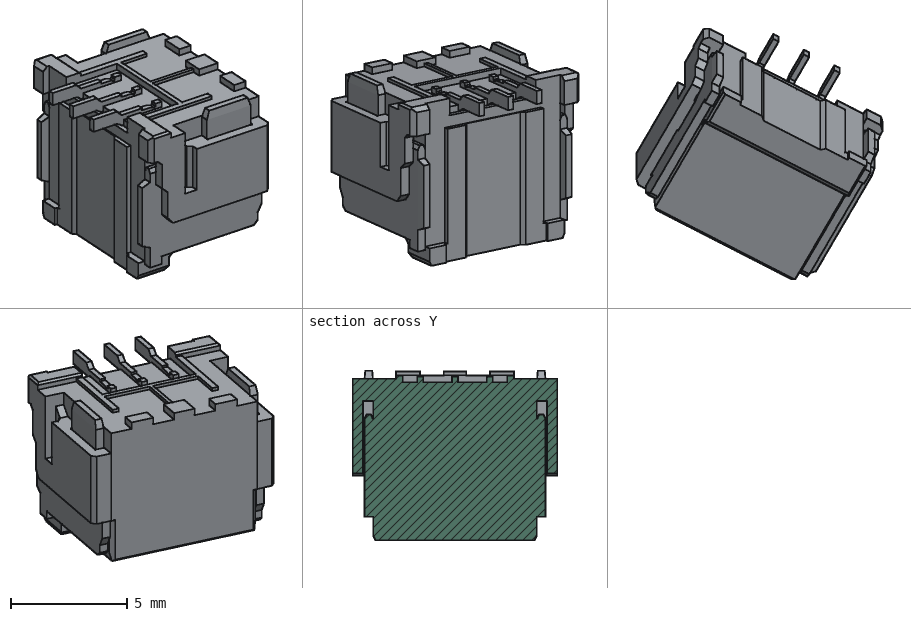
import cadquery as cq


HALF_WIDTH = 4.4
BACK_Y = 7.4
TOP_Z = 7.3

CORE_HALF = 3.52
CORE_FRONT_Y = 1.35
CORE_BOTTOM_Z = 0.81
CORE_TOP_Z = 6.96
CORE_SIDE_RELIEF = 0.09
CORE_RELIEF_RISE = 0.41
EDGE_RISE = 0.2
BACK_EDGE = 0.09
SMALL_CHAMFER = 0.1
LARGE_CHAMFER = 0.2

SKIRT_BACK_Y = 2.65
SKIRT_SLOPE_Z = 0.6
FOOT_FRONT_Y = 1.02
FOOT_INNER_X = 2.64

PANEL_HALF = 2.51
PANEL_FRONT_Y = 1.135
CHANNEL_Y = 1.29
CHANNEL_INNER_X = 1.39
CHANNEL_OUTER_X = 1.57

PAD_TOP_Z = 7.27
RIB_TOP_Z = 7.1
CLAMP_TOP_Z = 7.28
CENTER_PAD_HALF = 0.49
CENTER_PAD_Y = 6.41
SIDE_PAD_INNER_X = 1.5
SIDE_PAD_Y = 6.79
RIB_OUTER_X = 2.54
SIDE_RIB_END_Y = 5.61
CENTER_RIB_HALF = 0.09
CROSS_RIB_BACK_Y = 4.25
POCKET_HALF = 2.24
POCKET_BACK_Y = 4.02
POCKET_FLOOR_Z = 6.8
LEDGE_BACK_Y = 1.59
LEDGE_Z = 6.5

CLAMP_FRONT_Y = 1.03
CLAMP_BACK_Y = 2.12
SHOULDER_Z = 5.99

WING_INNER_X = 3.95
WING_BACK_Y = 7.38
WING_BOTTOM_Z = 2.78
WING_BACK_CHAMFER = 0.185
WING_FRONT_Y = 1.43
FILLER_FRONT_Y = 2.22
WING_STEPS = [
    (WING_FRONT_Y, SHOULDER_Z),
    (1.64, 5.8),
    (1.64, 4.64),
    (1.945, 4.36),
    (1.945, 3.1),
    (FILLER_FRONT_Y, WING_BOTTOM_Z),
]
FILLER_CHAMFER = 0.62
SLOT_FRONT_Y = 4.37
SLOT_BACK_Y = 6.74
GROOVE_FRONT_Y = 2.86
GROOVE_BACK_Y = 3.48
GROOVE_BOTTOM_Z = 4.0
GROOVE_DEPTH = 0.31

PLATE_OUTER_X = 3.9
PLATE_FRONT_Y = 1.36
PLATE_BOTTOM_Z = 1.01
PLATE_TOP_Z = 6.39
PLATE_BACK_Y = 7.29
PLATE_BACK_CORNER = [(6.86, PLATE_BOTTOM_Z), (7.07, 1.21), (7.07, 1.57), (PLATE_BACK_Y, 1.97)]
LEG_BACK_Y = 1.98
LEG_BOTTOM_Z = 0.64
ARM_TOP_Z = 5.42
TAB_TAPER = 0.035
TOP_TAB_BASE_Z = 6.91
TOP_TAB_FRONT_Y = SLOT_FRONT_Y
TOP_TAB_BACK_Y = 6.7
TOP_TAB_SLOPE = 0.15
FRONT_TAB_BOTTOM_Z = 1.62
FRONT_TAB_TOP_Z = 4.805
FRONT_TAB_SLOPE = 0.18
FRONT_TAB_Y = 0.97

PIN_PITCH = 1.5
PIN_WIDTH = 0.26
TIP_BOTTOM_Z = 6.71
JOG_START_Y = 1.26
JOG_END_Y = 1.5
TAIL_BOTTOM_Z = 6.55
TAIL_TOP_Z = 7.06
WAIST_START_Y = 2.57
WAIST_Z = 6.96
BEND_START_Y = 2.9
BEND_MID_POINT = (3.06, 6.94)
BEND_LOW_POINT = (3.21, 6.88)
HEAD_FOOT_Z = 6.94
HEAD_START_Y = 3.28
PIN_END_Y = 3.62


def block(x0, x1, y0, y1, z0, z1):
    """Axis-aligned box between two opposite corners."""
    return cq.Workplane("XY").box(x1 - x0, y1 - y0, z1 - z0, centered=False).translate((x0, y0, z0))


def side_prism(points, x0, x1):
    """Prism with a (Y, Z) outline, running along X."""
    return cq.Workplane("YZ").polyline(points).close().extrude(x1 - x0).translate((x0, 0, 0))


def plan_prism(points, z0, z1):
    """Prism with an (X, Y) outline, running along Z."""
    return cq.Workplane("XY").polyline(points).close().extrude(z1 - z0).translate((0, 0, z0))


def front_prism(points, y0, y1):
    """Prism with an (X, Z) outline, running along Y."""
    return cq.Workplane("XZ").polyline(points).close().extrude(y0 - y1).translate((0, y0, 0))


def both_sides(half):
    """The shape together with its mirror image across X = 0."""
    return half.union(half.mirror("YZ"))


def make_core():
    profile = [
        (CORE_FRONT_Y, CORE_BOTTOM_Z),
        (BACK_Y - BACK_EDGE, CORE_BOTTOM_Z),
        (BACK_Y, CORE_BOTTOM_Z + BACK_EDGE),
        (BACK_Y, CORE_TOP_Z),
        (CORE_FRONT_Y, CORE_TOP_Z),
    ]
    core = side_prism(profile, -CORE_HALF, CORE_HALF)
    bottom_relief = front_prism(
        [
            (CORE_HALF, CORE_BOTTOM_Z + CORE_RELIEF_RISE),
            (CORE_HALF, CORE_BOTTOM_Z),
            (CORE_HALF - CORE_SIDE_RELIEF, CORE_BOTTOM_Z),
        ],
        SKIRT_BACK_Y,
        BACK_Y,
    )
    back_corner = plan_prism(
        [
            (CORE_HALF, BACK_Y - LARGE_CHAMFER),
            (CORE_HALF, BACK_Y),
            (CORE_HALF - LARGE_CHAMFER, BACK_Y),
        ],
        CORE_BOTTOM_Z,
        WING_BOTTOM_Z,
    )
    return core.cut(both_sides(bottom_relief)).cut(both_sides(back_corner))


def make_skirt():
    slope_top_z = CORE_BOTTOM_Z + EDGE_RISE
    profile = [
        (FOOT_FRONT_Y, 0),
        (SKIRT_BACK_Y - LARGE_CHAMFER, 0),
        (SKIRT_BACK_Y, LARGE_CHAMFER),
        (SKIRT_BACK_Y, SKIRT_SLOPE_Z),
        (SKIRT_BACK_Y + slope_top_z - SKIRT_SLOPE_Z, slope_top_z),
        (CORE_FRONT_Y, slope_top_z),
        (CORE_FRONT_Y, CORE_BOTTOM_Z),
        (FOOT_FRONT_Y, CORE_BOTTOM_Z),
    ]
    skirt = side_prism(profile, -CORE_HALF, CORE_HALF)
    between_feet = block(-FOOT_INNER_X, FOOT_INNER_X, FOOT_FRONT_Y, PANEL_FRONT_Y, 0, CORE_BOTTOM_Z)
    bottom_edge = front_prism(
        [(CORE_HALF, EDGE_RISE), (CORE_HALF, 0), (CORE_HALF - SMALL_CHAMFER, 0)],
        FOOT_FRONT_Y,
        SKIRT_BACK_Y,
    )
    return skirt.cut(between_feet).cut(both_sides(bottom_edge))


def make_panel():
    return block(-PANEL_HALF, PANEL_HALF, PANEL_FRONT_Y, CORE_FRONT_Y, 0, SHOULDER_Z)


def make_channel():
    outline = [
        (-CHANNEL_OUTER_X, PANEL_FRONT_Y),
        (-CHANNEL_INNER_X, CHANNEL_Y),
        (CHANNEL_INNER_X, CHANNEL_Y),
        (CHANNEL_OUTER_X, PANEL_FRONT_Y),
    ]
    return plan_prism(outline, 0, SHOULDER_Z)


def make_top_details():
    center_pad = block(-CENTER_PAD_HALF, CENTER_PAD_HALF, CENTER_PAD_Y, BACK_Y, CORE_TOP_Z, PAD_TOP_Z)
    side_pad = block(SIDE_PAD_INNER_X, RIB_OUTER_X, SIDE_PAD_Y, BACK_Y, CORE_TOP_Z, PAD_TOP_Z)
    side_rib = block(POCKET_HALF, RIB_OUTER_X, CLAMP_BACK_Y, SIDE_RIB_END_Y, CORE_TOP_Z, RIB_TOP_Z)
    cross_rib = block(-POCKET_HALF, POCKET_HALF, POCKET_BACK_Y, CROSS_RIB_BACK_Y, CORE_TOP_Z, RIB_TOP_Z)
    center_rib = block(
        -CENTER_RIB_HALF, CENTER_RIB_HALF, CROSS_RIB_BACK_Y, CENTER_PAD_Y, CORE_TOP_Z, RIB_TOP_Z
    )
    return center_pad.union(both_sides(side_pad.union(side_rib))).union(cross_rib).union(center_rib)


def make_pocket():
    """Pin pocket, open at the top and front, with a lower ledge at its front edge."""
    floor_part = block(-POCKET_HALF, POCKET_HALF, CORE_FRONT_Y, POCKET_BACK_Y, POCKET_FLOOR_Z, TOP_Z)
    ledge_part = block(-POCKET_HALF, POCKET_HALF, CORE_FRONT_Y, LEDGE_BACK_Y, LEDGE_Z, TOP_Z)
    return floor_part.union(ledge_part)


def make_clamp():
    """Corner block on the +X side, standing in front of the core at its outer end."""
    outer = block(CORE_HALF, HALF_WIDTH, CLAMP_FRONT_Y, CLAMP_BACK_Y, SHOULDER_Z, CLAMP_TOP_Z)
    outer = outer.edges(">X and <Y").chamfer(LARGE_CHAMFER)
    top_front = side_prism(
        [
            (CLAMP_FRONT_Y, CLAMP_TOP_Z - LARGE_CHAMFER),
            (CLAMP_FRONT_Y, CLAMP_TOP_Z),
            (CLAMP_FRONT_Y + LARGE_CHAMFER, CLAMP_TOP_Z),
        ],
        CORE_HALF,
        HALF_WIDTH,
    )
    top_side = front_prism(
        [
            (HALF_WIDTH, CLAMP_TOP_Z - SMALL_CHAMFER),
            (HALF_WIDTH, CLAMP_TOP_Z),
            (HALF_WIDTH - SMALL_CHAMFER, CLAMP_TOP_Z),
        ],
        CLAMP_FRONT_Y,
        CLAMP_BACK_Y,
    )
    inner = block(POCKET_HALF, CORE_HALF, CORE_FRONT_Y, CLAMP_BACK_Y, CORE_TOP_Z, CLAMP_TOP_Z)
    top_back = side_prism(
        [
            (CLAMP_BACK_Y, CLAMP_TOP_Z - SMALL_CHAMFER),
            (CLAMP_BACK_Y, CLAMP_TOP_Z),
            (CLAMP_BACK_Y - SMALL_CHAMFER, CLAMP_TOP_Z),
        ],
        POCKET_HALF,
        HALF_WIDTH,
    )
    return outer.cut(top_front).cut(top_side).union(inner).cut(top_back)


def make_wing():
    """Side wing on the +X side, with a slot through it and a vertical groove in its outer face."""
    slab = side_prism(
        WING_STEPS + [(WING_BACK_Y, WING_BOTTOM_Z), (WING_BACK_Y, SHOULDER_Z)], WING_INNER_X, HALF_WIDTH
    )
    filler = side_prism(
        [
            (FILLER_FRONT_Y, SHOULDER_Z),
            (FILLER_FRONT_Y, WING_BOTTOM_Z + FILLER_CHAMFER),
            (FILLER_FRONT_Y + FILLER_CHAMFER, WING_BOTTOM_Z),
            (WING_BACK_Y, WING_BOTTOM_Z),
            (WING_BACK_Y, SHOULDER_Z),
        ],
        CORE_HALF,
        WING_INNER_X,
    )
    slot = block(CORE_HALF, WING_INNER_X, SLOT_FRONT_Y, SLOT_BACK_Y, WING_BOTTOM_Z, SHOULDER_Z)
    wing = slab.edges(">X and >Y").chamfer(WING_BACK_CHAMFER).union(filler).cut(slot)
    front_block = block(CORE_HALF, HALF_WIDTH, WING_FRONT_Y, GROOVE_FRONT_Y, SHOULDER_Z, CORE_TOP_Z)
    shoulder_x = HALF_WIDTH - GROOVE_DEPTH
    narrowed_y = GROOVE_BACK_Y - LARGE_CHAMFER
    groove = plan_prism(
        [
            (HALF_WIDTH, GROOVE_BACK_Y),
            (shoulder_x, GROOVE_BACK_Y),
            (WING_INNER_X, narrowed_y),
            (CORE_HALF, narrowed_y),
            (CORE_HALF, GROOVE_FRONT_Y),
            (HALF_WIDTH, GROOVE_FRONT_Y),
        ],
        GROOVE_BOTTOM_Z,
        SHOULDER_Z,
    )
    return wing.cut(groove).union(front_block)


def make_plate():
    """Metal plate on the +X side of the core, with a tapered tab on its top and on its front."""
    groove_slope = PLATE_TOP_Z - SHOULDER_Z
    outline = [
        (PLATE_FRONT_Y, LEG_BOTTOM_Z),
        (LEG_BACK_Y, LEG_BOTTOM_Z),
        (LEG_BACK_Y, PLATE_BOTTOM_Z),
        *PLATE_BACK_CORNER,
        (PLATE_BACK_Y, WING_BOTTOM_Z),
        (TOP_TAB_BACK_Y, WING_BOTTOM_Z),
        (TOP_TAB_BACK_Y, TOP_TAB_BASE_Z),
        (TOP_TAB_FRONT_Y, TOP_TAB_BASE_Z),
        (TOP_TAB_FRONT_Y, SHOULDER_Z),
        (GROOVE_FRONT_Y + groove_slope, SHOULDER_Z),
        (GROOVE_FRONT_Y, PLATE_TOP_Z),
        (FILLER_FRONT_Y, PLATE_TOP_Z),
        (FILLER_FRONT_Y, ARM_TOP_Z),
        (PLATE_FRONT_Y, ARM_TOP_Z),
    ]
    plate = side_prism(outline, CORE_HALF, PLATE_OUTER_X)
    thickness = PLATE_OUTER_X - CORE_HALF
    plate_mid_x = (CORE_HALF + PLATE_OUTER_X) / 2
    outer_bevel = front_prism(
        [
            (PLATE_OUTER_X, ARM_TOP_Z - LARGE_CHAMFER),
            (PLATE_OUTER_X, ARM_TOP_Z),
            (PLATE_OUTER_X - SMALL_CHAMFER, ARM_TOP_Z),
        ],
        PLATE_FRONT_Y,
        FILLER_FRONT_Y,
    )
    inner_bevel = outer_bevel.mirror("YZ", (plate_mid_x, 0, 0))
    end_thickness = thickness - 2 * TAB_TAPER

    top_length = TOP_TAB_BACK_Y - TOP_TAB_FRONT_Y
    top_tab = (
        cq.Workplane("XY", origin=(plate_mid_x, (TOP_TAB_FRONT_Y + TOP_TAB_BACK_Y) / 2, TOP_TAB_BASE_Z))
        .rect(thickness, top_length)
        .workplane(offset=TOP_Z - TOP_TAB_BASE_Z)
        .rect(end_thickness, top_length - 2 * TOP_TAB_SLOPE)
        .loft(ruled=True)
    )
    front_length = FRONT_TAB_TOP_Z - FRONT_TAB_BOTTOM_Z
    front_mid_z = (FRONT_TAB_TOP_Z + FRONT_TAB_BOTTOM_Z) / 2
    front_tab = (
        cq.Workplane("XZ", origin=(plate_mid_x, PLATE_FRONT_Y, front_mid_z))
        .rect(thickness, front_length)
        .workplane(offset=PLATE_FRONT_Y - FRONT_TAB_Y)
        .rect(end_thickness, front_length - 2 * FRONT_TAB_SLOPE)
        .loft(ruled=True)
    )
    return plate.cut(outer_bevel).cut(inner_bevel).union(top_tab).union(front_tab)


def make_pin(x):
    """Bent pin: straight tip, downward jog, straight tail, waist, rounded bend and raised head."""
    pin = (
        cq.Workplane("YZ")
        .moveTo(0, TIP_BOTTOM_Z)
        .lineTo(0, TOP_Z)
        .lineTo(JOG_START_Y, TOP_Z)
        .lineTo(JOG_END_Y, TAIL_TOP_Z)
        .lineTo(WAIST_START_Y, TAIL_TOP_Z)
        .lineTo(WAIST_START_Y, WAIST_Z)
        .lineTo(BEND_START_Y, WAIST_Z)
        .threePointArc(BEND_MID_POINT, BEND_LOW_POINT)
        .lineTo(HEAD_START_Y, HEAD_FOOT_Z)
        .lineTo(HEAD_START_Y, TAIL_TOP_Z)
        .lineTo(PIN_END_Y, TAIL_TOP_Z)
        .lineTo(PIN_END_Y, TAIL_BOTTOM_Z)
        .lineTo(JOG_END_Y, TAIL_BOTTOM_Z)
        .lineTo(JOG_START_Y, TIP_BOTTOM_Z)
        .close()
    )
    return pin.extrude(PIN_WIDTH / 2, both=True).translate((x, 0, 0))


housing = make_core().union(make_skirt()).union(make_panel()).cut(make_channel())
housing = housing.union(make_top_details()).cut(make_pocket())
side = make_clamp().union(make_wing()).union(make_plate())
result = housing.union(both_sides(side))
for pin_index in (-1, 0, 1):
    result = result.union(make_pin(pin_index * PIN_PITCH))